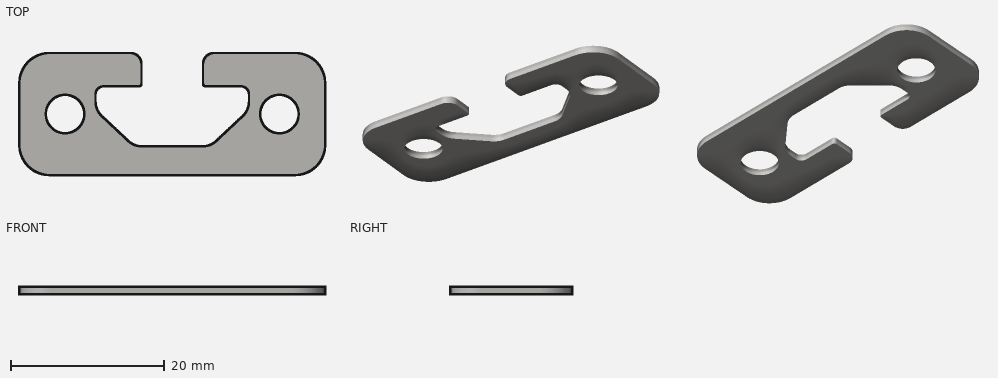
import cadquery as cq

length = 40.0
width = 16.0
thickness = 1.0
corner_radius = 4.0

hole_diameter = 5.0
hole_spacing = 28.0

mouth_width = 8.0
pocket_width = 20.0
floor_width = 10.0
ledge_y = 3.6
side_bottom_y = 0.5
floor_y = -4.2

mouth_radius = 1.5
lip_radius = 0.4
ledge_radius = 1.0
slope_radius = 2.5


def make_plate():
    plate = cq.Workplane("XY").rect(length, width).extrude(thickness)
    plate = plate.edges("|Z").fillet(corner_radius)
    holes = (
        cq.Workplane("XY")
        .pushPoints([(-hole_spacing / 2, 0), (hole_spacing / 2, 0)])
        .circle(hole_diameter / 2)
        .extrude(thickness)
    )
    return plate.cut(holes)


def make_cutout():
    """Narrow mouth that widens behind two ledges, then tapers to a flat floor."""
    right_side = [
        (floor_width / 2, floor_y),
        (pocket_width / 2, side_bottom_y),
        (pocket_width / 2, ledge_y),
        (mouth_width / 2, ledge_y),
        (mouth_width / 2, width / 2),
    ]
    left_side = [(-x, y) for x, y in reversed(right_side)]
    return cq.Workplane("XY").polyline(right_side + left_side).close().extrude(thickness)


def round_mirrored_corners(body, x, y, radius):
    """Fillet the upright edges at (x, y) and (-x, y)."""
    for corner_x in (-x, x):
        nearest = cq.selectors.NearestToPointSelector((corner_x, y, thickness / 2))
        body = body.edges("|Z").edges(nearest).fillet(radius)
    return body


result = make_plate().cut(make_cutout())
result = round_mirrored_corners(result, mouth_width / 2, width / 2, mouth_radius)
result = round_mirrored_corners(result, mouth_width / 2, ledge_y, lip_radius)
result = round_mirrored_corners(result, pocket_width / 2, ledge_y, ledge_radius)
result = round_mirrored_corners(result, pocket_width / 2, side_bottom_y, slope_radius)
result = round_mirrored_corners(result, floor_width / 2, floor_y, slope_radius)